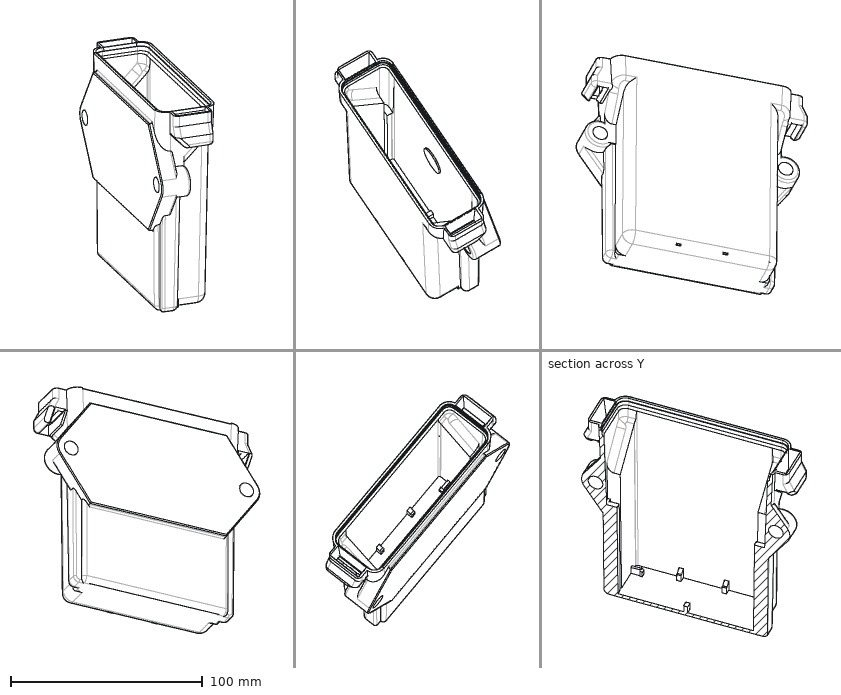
import cadquery as cq
import math

HEIGHT = 114.0
DEPTH = 34.75
SAME = 0.01
ALONG = 0.9

PLATE_Z = 75.0
PLATE_HALF_HEIGHT = 30.0
PLATE_CORNER_X = 39.7
PLATE_THICKNESS = 10.0
PLATE_FRONT_CHAMFER = 0.6
PLATE_BACK_FILLET = 1.4
PLATE_ROOT_FILLET = 0.9
BOSS_X = 51.0
BOSS_RADIUS = 8.0
BOSS_LENGTH = 16.5
BOSS_END_ROUND = 1.2
HOLE_DIAMETER = 8.0

CORE_HALF_WIDTH = 42.3
CORE_FRONT_TOP = 2.15
CORE_FRONT_BOTTOM = 3.0
CORE_BACK_BOTTOM = 32.3
CORE_BACK_ROUND = 5.4
PANEL_SIDE_ROUND = 1.8
PANEL_BOTTOM_ROUND = 3.0

MOUTH_HALF_WIDTH = 49.8
MOUTH_CORNER = 6.5
WAIST_Z = 70.0
WAIST_HALF_WIDTH = 48.0
SLOPE_Z_AT_FRONT = 65.7
SLOPE_SIDE_ROUND = 4.0

EAR_HALF_WIDTH = 46.4
EAR_TOP_HALF_WIDTH = 47.0
EAR_FRONT = 5.4
EAR_BACK = 15.8
EAR_BACK_BOTTOM = 14.5
EAR_BACK_ROUND = 3.0
EAR_FRONT_ROUND = 1.2
EAR_BOTTOM_ROUND = 3.0

FLOOR = 2.5
CAVITY_WALL = 2.8
BACK_WALL = 3.1
WIDE_CAVITY_LEAN = 0.3
SLOPE_WALL = 3.0
CORE_CAVITY_HALF_WIDTH_TOP = 39.2
CORE_CAVITY_HALF_WIDTH_FLOOR = 38.2
CORE_CAVITY_FRONT_FLOOR = 5.5
CORE_CAVITY_BACK_FLOOR = 30.8
CORE_CAVITY_CORNER = 1.0
EAR_WALL = 2.0
EAR_CAVITY_FRONT = 9.0
EAR_CAVITY_BACK = 10.8
EAR_LEDGE_Z = 62.0

RIM_WALL = 1.4
RIM_DEPTH = 2.0
LEDGE_WALL = 1.8
LEDGE_DEPTH = 4.5
RIM_SLOPE_DEPTH = 5.7

LIP_BEVEL_DEPTH = 0.9
LIP_BEVEL_HEIGHT = 0.5

LATCH_TOP_X = 56.7
LATCH_FLARE_X = 59.375
LATCH_INNER_X = 45.5
LATCH_FRONT = 8.2
LATCH_BACK = 29.4
LATCH_BOTTOM_Z = 96.0
FLARE_START_Z = 108.2
FLARE_END_Z = 102.6
LATCH_ROUND = 2.6
LATCH_BOTTOM_ROUND = 2.4
LATCH_EDGE_CUT = 5.7
LATCH_CORNER_BEVEL = 3.0
WINDOW_TOP = (48.8, 55.5, 9.6, 28.4)
WINDOW_NECK = (49.9, 53.1, 11.2, 26.2)
CATCH_Z = 102.3
CATCH_POCKET_INNER_X = 50.4
CATCH_POCKET_OUTER_X = 56.3
CATCH_POCKET_BACK = 27.9

RIB_HEIGHT = 4.0
RIB_RISE = 2.2
BACK_RIB_X = 12.85
BACK_RIB_WIDTH = 2.5
BACK_RIB_END_Y = 27.6
SIDE_RIB_Y = 24.4
SIDE_RIB_WIDTH = 1.5
SIDE_RIB_INNER_X = 33.0
SIDE_RIB_END_X = 31.7
SIDE_RIB_END_WIDTH = 2.4
FRONT_RIB_WIDTH = 2.4
FRONT_RIB_END_Y = 9.3
PAD_RADIUS = 7.5
PAD_FACE_Y = 5.9
OVERLAP = 0.8


def between(start, end, z):
    """Value at height z of a taper running from start at Z = 0 to end at the top."""
    return start + (end - start) * z / HEIGHT


def box(x0, x1, y0, y1, z0, z1):
    return cq.Workplane("XY").box(x1 - x0, y1 - y0, z1 - z0, centered=False).translate((x0, y0, z0))


def both_sides(shape):
    return shape.union(shape.mirror("YZ"))


def taper(lower, upper, z0, z1):
    """Ruled solid between two rectangles, each given as (half width, y from, y to, corner radius)."""
    wires = []
    for z, (half_width, y0, y1, corner) in ((z0, lower), (z1, upper)):
        wire = cq.Workplane("XY", origin=(0, (y0 + y1) / 2, z)).rect(2 * half_width, y1 - y0).val()
        if corner:
            wire = wire.fillet2D(corner, wire.Vertices())
        wires.append(wire)
    return cq.Workplane(cq.Solid.makeLoft(wires, True))


def fillet_where(solid, radius, condition):
    """Round the edges whose centre and direction meet the condition."""
    edges = [edge for edge in solid.edges().vals() if condition(edge.Center(), edge.tangentAt(0.5))]
    return solid.newObject(edges).fillet(radius)


def is_upright(direction):
    return abs(direction.z) > ALONG


def sloped_block(half_widths, fronts, backs, z0, z1, slope_z, corner):
    """Tapered block whose underside rises at 45 degrees behind backs[0].

    Pairs give the size at z0 and at z1, except that backs holds the Y where the slope starts,
    the Y where it ends and the Y of the back at z1.  slope_z is the height where the slope's
    plane meets Y = 0.
    """
    slope_start, slope_end, back_top = backs
    block = (
        cq.Workplane("XZ")
        .polyline([(-half_widths[0], z0), (half_widths[0], z0),
                   (half_widths[1], z1), (-half_widths[1], z1)])
        .close()
        .extrude(-2 * DEPTH)
    )
    profile = (
        cq.Workplane("YZ")
        .polyline([(fronts[0], z0), (slope_start, z0), (slope_start, slope_start + slope_z),
                   (slope_end, slope_end + slope_z), (back_top, z1), (fronts[1], z1)])
        .close()
        .extrude(2 * MOUTH_HALF_WIDTH, both=True)
    )
    block = block.intersect(profile)
    block = fillet_where(block, corner,
                         lambda centre, direction: is_upright(direction) and centre.y > DEPTH / 2)
    block = fillet_where(
        block, SLOPE_SIDE_ROUND,
        lambda centre, direction: abs(centre.z - centre.y - slope_z) < SAME and abs(direction.x) < ALONG)
    return fillet_where(block, corner,
                        lambda centre, direction: is_upright(direction) and centre.y < slope_start / 2)


def make_core():
    """Rounded rear block with the front panel block joined to it inside the ears."""
    rear = (
        cq.Workplane("YZ")
        .polyline([(EAR_FRONT, 0), (CORE_BACK_BOTTOM, 0), (DEPTH, HEIGHT), (EAR_FRONT, HEIGHT)])
        .close()
        .extrude(CORE_HALF_WIDTH, both=True)
    )
    rear = fillet_where(
        rear, CORE_BACK_ROUND,
        lambda centre, direction: is_upright(direction) and centre.y > EAR_BACK
        or centre.z < SAME and centre.y > EAR_FRONT + SAME)
    panel = (
        cq.Workplane("YZ")
        .polyline([(CORE_FRONT_BOTTOM, 0), (EAR_BACK, 0), (EAR_BACK, HEIGHT), (CORE_FRONT_TOP, HEIGHT)])
        .close()
        .extrude(CORE_HALF_WIDTH, both=True)
    )
    panel = panel.faces("<Z").edges("<Y").fillet(PANEL_BOTTOM_ROUND)
    panel = fillet_where(panel, PANEL_SIDE_ROUND,
                         lambda centre, direction: is_upright(direction) and centre.y < EAR_FRONT)
    return rear.union(panel)


def make_mouth():
    """Wide upper part around the opening."""
    waist_front = between(CORE_FRONT_BOTTOM, CORE_FRONT_TOP, WAIST_Z)
    back_lean = (DEPTH - CORE_BACK_BOTTOM) / HEIGHT
    slope_end = (CORE_BACK_BOTTOM + back_lean * SLOPE_Z_AT_FRONT) / (1 - back_lean)
    return sloped_block((WAIST_HALF_WIDTH, MOUTH_HALF_WIDTH), (waist_front, CORE_FRONT_TOP),
                        (BOSS_LENGTH, slope_end, DEPTH), WAIST_Z, HEIGHT, SLOPE_Z_AT_FRONT, MOUTH_CORNER)


def make_ears():
    """Side bulges that carry the mouth's width down to the closed end."""
    ears = (
        cq.Workplane("XZ")
        .polyline([(-EAR_HALF_WIDTH, 0), (EAR_HALF_WIDTH, 0),
                   (EAR_TOP_HALF_WIDTH, WAIST_Z), (-EAR_TOP_HALF_WIDTH, WAIST_Z)])
        .close()
        .extrude(-DEPTH)
    )
    side_profile = (
        cq.Workplane("YZ")
        .polyline([(EAR_FRONT, 0), (EAR_BACK_BOTTOM, 0), (EAR_BACK, WAIST_Z), (EAR_FRONT, WAIST_Z)])
        .close()
        .extrude(MOUTH_HALF_WIDTH, both=True)
    )
    ears = ears.intersect(side_profile)
    middle_y = (EAR_FRONT + EAR_BACK) / 2
    ears = fillet_where(ears, EAR_BOTTOM_ROUND,
                        lambda centre, direction: abs(direction.y) > ALONG and centre.z < SAME)
    ears = fillet_where(ears, EAR_BACK_ROUND,
                        lambda centre, direction: is_upright(direction) and centre.y > middle_y)
    return fillet_where(ears, EAR_FRONT_ROUND,
                        lambda centre, direction: is_upright(direction) and centre.y < middle_y)


def make_plate():
    """Hexagon whose sloping sides run tangent to the boss circles."""
    run = BOSS_X - PLATE_CORNER_X
    distance = math.hypot(run, PLATE_HALF_HEIGHT)
    angle = math.pi - math.atan2(PLATE_HALF_HEIGHT, run) - math.acos(BOSS_RADIUS / distance)
    tangent_x = BOSS_X + BOSS_RADIUS * math.cos(angle)
    tangent_z = BOSS_RADIUS * math.sin(angle)
    tip_x = BOSS_X + BOSS_RADIUS
    plate = (
        cq.Workplane("XZ")
        .moveTo(-PLATE_CORNER_X, PLATE_HALF_HEIGHT)
        .lineTo(PLATE_CORNER_X, PLATE_HALF_HEIGHT)
        .lineTo(tangent_x, tangent_z)
        .threePointArc((tip_x, 0), (tangent_x, -tangent_z))
        .lineTo(PLATE_CORNER_X, -PLATE_HALF_HEIGHT)
        .lineTo(-PLATE_CORNER_X, -PLATE_HALF_HEIGHT)
        .lineTo(-tangent_x, -tangent_z)
        .threePointArc((-tip_x, 0), (-tangent_x, tangent_z))
        .close()
        .extrude(-PLATE_THICKNESS)
    )
    plate = plate.faces("<Y").edges().chamfer(PLATE_FRONT_CHAMFER)
    plate = plate.faces(">Y").edges().fillet(PLATE_BACK_FILLET)
    boss = cq.Workplane("XZ").center(BOSS_X, 0).circle(BOSS_RADIUS).extrude(-BOSS_LENGTH)
    boss = boss.faces("<Y").edges().chamfer(PLATE_FRONT_CHAMFER).faces(">Y").edges().fillet(BOSS_END_ROUND)
    return plate.union(both_sides(boss)).translate((0, 0, PLATE_Z))


def make_holes():
    hole = cq.Workplane("XZ").center(BOSS_X, PLATE_Z).circle(HOLE_DIAMETER / 2).extrude(-BOSS_LENGTH)
    return both_sides(hole)


def make_latch():
    """Solid latch loop on the +X side, flared towards its lower end."""
    latch = (
        cq.Workplane("XZ")
        .polyline([(LATCH_INNER_X, HEIGHT), (LATCH_TOP_X, HEIGHT), (LATCH_TOP_X, FLARE_START_Z),
                   (LATCH_FLARE_X, FLARE_END_Z), (LATCH_FLARE_X, LATCH_BOTTOM_Z),
                   (LATCH_INNER_X, LATCH_BOTTOM_Z)])
        .close()
        .extrude(LATCH_FRONT - LATCH_BACK)
        .translate((0, LATCH_FRONT, 0))
    )
    latch = fillet_where(
        latch, LATCH_ROUND,
        lambda centre, direction: centre.x > LATCH_TOP_X - SAME and abs(direction.y) < ALONG)
    latch = latch.faces("<Z").edges(">X").fillet(LATCH_BOTTOM_ROUND)
    return latch.cut(make_latch_edge_cut())


def make_latch_edge_cut():
    """45 degree cut along the lower front edge of the loop, growing outwards across the flare."""
    def triangle(x, leg):
        corners = [(x, LATCH_FRONT, LATCH_BOTTOM_Z), (x, LATCH_FRONT + leg, LATCH_BOTTOM_Z),
                   (x, LATCH_FRONT, LATCH_BOTTOM_Z + leg)]
        return cq.Wire.makePolygon([cq.Vector(*corner) for corner in corners], close=True)

    inner = triangle(LATCH_INNER_X, LATCH_EDGE_CUT)
    middle = triangle(LATCH_TOP_X, LATCH_EDGE_CUT)
    outer = triangle(LATCH_FLARE_X, LATCH_EDGE_CUT + LATCH_CORNER_BEVEL)
    edge_cut = cq.Workplane(cq.Solid.makeLoft([inner, middle], True))
    return edge_cut.union(cq.Workplane(cq.Solid.makeLoft([middle, outer], True)))


def make_latch_window():
    """Opening that narrows downwards to a catch, then widens into a pocket open to the front."""
    wires = []
    for z, (x0, x1, y0, y1) in ((CATCH_Z, WINDOW_NECK), (HEIGHT, WINDOW_TOP)):
        corners = [(x0, y0, z), (x1, y0, z), (x1, y1, z), (x0, y1, z)]
        wires.append(cq.Wire.makePolygon([cq.Vector(*corner) for corner in corners], close=True))
    pocket = box(CATCH_POCKET_INNER_X, CATCH_POCKET_OUTER_X, LATCH_FRONT, CATCH_POCKET_BACK,
                 LATCH_BOTTOM_Z, CATCH_Z)
    return pocket.union(cq.Workplane(cq.Solid.makeLoft(wires, True)))


def mouth_section(wall, back_wall):
    """Mouth outline at the top, offset inwards."""
    return (MOUTH_HALF_WIDTH - wall, CORE_FRONT_TOP + wall, DEPTH - back_wall, MOUTH_CORNER - wall)


def make_cavity():
    """Stepped mouth, sloped wide part, full-depth core and the slots inside the ears."""
    rim_slope_z = HEIGHT - RIM_SLOPE_DEPTH
    ledge_z = HEIGHT - LEDGE_DEPTH
    inner = mouth_section(CAVITY_WALL, BACK_WALL)
    ledge = mouth_section(LEDGE_WALL, LEDGE_WALL)
    rim = mouth_section(RIM_WALL, RIM_WALL)

    core = taper((CORE_CAVITY_HALF_WIDTH_FLOOR, CORE_CAVITY_FRONT_FLOOR, CORE_CAVITY_BACK_FLOOR,
                  CORE_CAVITY_CORNER),
                 (CORE_CAVITY_HALF_WIDTH_TOP, inner[1], inner[2], CORE_CAVITY_CORNER), FLOOR, rim_slope_z)
    wide = sloped_block((WAIST_HALF_WIDTH - EAR_WALL, inner[0]), (CORE_CAVITY_FRONT_FLOOR, inner[1]),
                        (EAR_CAVITY_BACK, inner[2] - WIDE_CAVITY_LEAN, inner[2]), EAR_LEDGE_Z, rim_slope_z,
                        SLOPE_Z_AT_FRONT + SLOPE_WALL * math.sqrt(2), inner[3])
    ear_half_width = EAR_HALF_WIDTH - EAR_WALL
    ears = box(-ear_half_width, ear_half_width, EAR_CAVITY_FRONT, EAR_CAVITY_BACK, FLOOR, EAR_LEDGE_Z)
    cavity = core.union(wide).union(ears)
    cavity = cavity.union(taper(inner, ledge, rim_slope_z, ledge_z))
    cavity = cavity.union(taper(ledge, ledge, ledge_z, HEIGHT - RIM_DEPTH))
    return cavity.union(taper(rim, rim, HEIGHT - RIM_DEPTH, HEIGHT))


def make_ribs():
    """Locating ribs on the floor; the back and side ribs carry a ramp at one end."""
    wall_y = CORE_CAVITY_BACK_FLOOR + OVERLAP
    low = FLOOR - OVERLAP
    high = FLOOR + RIB_HEIGHT
    back_rib = (
        cq.Workplane("YZ", origin=(BACK_RIB_X, 0, 0))
        .polyline([(BACK_RIB_END_Y, low), (wall_y, low), (wall_y, high + RIB_RISE + OVERLAP),
                   (wall_y - OVERLAP - RIB_RISE, high), (BACK_RIB_END_Y, high)])
        .close()
        .extrude(BACK_RIB_WIDTH / 2, both=True)
    )
    side_wall_x = CORE_CAVITY_HALF_WIDTH_FLOOR + OVERLAP
    side_rib = box(SIDE_RIB_INNER_X, side_wall_x, SIDE_RIB_Y - SIDE_RIB_WIDTH / 2,
                   SIDE_RIB_Y + SIDE_RIB_WIDTH / 2, low, high)
    rib_end = box(SIDE_RIB_END_X, SIDE_RIB_INNER_X, SIDE_RIB_Y - SIDE_RIB_END_WIDTH / 2,
                  SIDE_RIB_Y + SIDE_RIB_END_WIDTH / 2, low, high)
    rib_end = rib_end.faces(">Z").edges("<X").chamfer(SIDE_RIB_INNER_X - SIDE_RIB_END_X - SAME)
    front_rib = box(-FRONT_RIB_WIDTH / 2, FRONT_RIB_WIDTH / 2, CORE_CAVITY_FRONT_FLOOR - OVERLAP,
                    FRONT_RIB_END_Y, low, high)
    return both_sides(back_rib.union(side_rib).union(rib_end)).union(front_rib)


def make_pad():
    """Round pad on the inside of the front wall."""
    pad = cq.Workplane("XZ").center(0, PLATE_Z).circle(PAD_RADIUS).extrude(-PAD_FACE_Y)
    return pad.cut(box(-PAD_RADIUS, PAD_RADIUS, 0, CORE_FRONT_BOTTOM + OVERLAP, 0, HEIGHT))


def make_front_lip_cut():
    """Shallow bevel along the straight front edge of the mouth."""
    return (
        cq.Workplane("YZ")
        .polyline([(CORE_FRONT_TOP, HEIGHT), (CORE_FRONT_TOP + LIP_BEVEL_DEPTH, HEIGHT),
                   (CORE_FRONT_TOP, HEIGHT - LIP_BEVEL_HEIGHT)])
        .close()
        .extrude(MOUTH_HALF_WIDTH - MOUTH_CORNER, both=True)
    )


def fillet_plate_root(body):
    """Fillet the plate's long edges where they rise from the front face."""
    return fillet_where(
        body, PLATE_ROOT_FILLET,
        lambda centre, direction: abs(direction.x) > ALONG and PLATE_FRONT_CHAMFER < centre.y < EAR_FRONT
        and abs(abs(centre.z - PLATE_Z) - PLATE_HALF_HEIGHT) < SAME and abs(centre.x) < SAME)


result = make_core().union(make_mouth()).union(make_ears()).union(make_plate())
result = fillet_plate_root(result)
result = result.union(both_sides(make_latch()))
result = result.cut(make_cavity()).cut(make_holes()).cut(make_front_lip_cut())
result = result.cut(both_sides(make_latch_window()))
result = result.union(make_ribs()).union(make_pad())